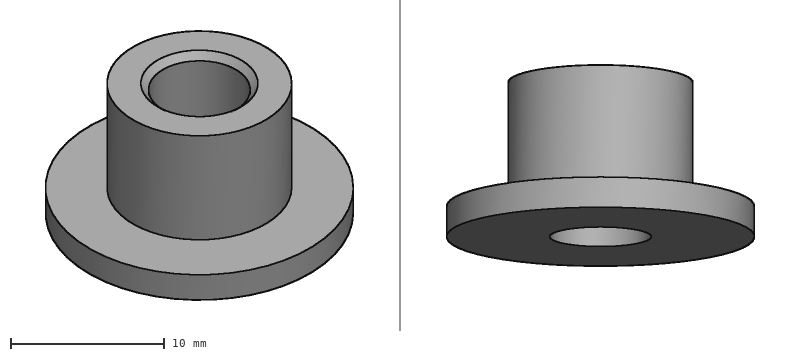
import cadquery as cq

flange_diameter = 20.0
flange_thickness = 2.0
barrel_diameter = 12.0
total_height = 10.2
bore_diameter = 6.6
bore_chamfer = 0.5


def make_body():
    """Round flange with the barrel standing on it."""
    flange = cq.Workplane("XY").circle(flange_diameter / 2).extrude(flange_thickness)
    barrel = cq.Workplane("XY").circle(barrel_diameter / 2).extrude(total_height)
    return flange.union(barrel)


def make_bore():
    """Through bore, widened by a 45 degree chamfer at the top of the barrel."""
    bore = cq.Workplane("XY").circle(bore_diameter / 2).extrude(total_height)
    lead_in = (
        cq.Workplane("XY")
        .workplane(offset=total_height)
        .circle(bore_diameter / 2 + bore_chamfer)
        .workplane(offset=-bore_chamfer)
        .circle(bore_diameter / 2)
        .loft()
    )
    return bore.union(lead_in)


result = make_body().cut(make_bore())